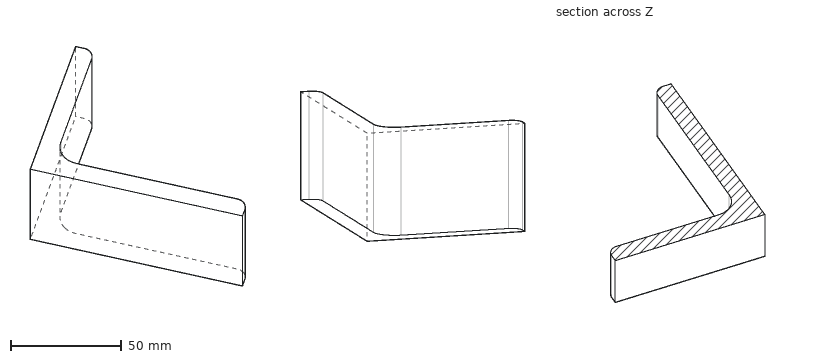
import cadquery as cq

long_leg = 100.0
short_leg = 75.0
thickness = 9.0
length = 50.0
root_radius = 10.0
toe_radius = 5.0


def angle_blank():
    """Sharp-cornered L section with its heel at the origin."""
    outline = [
        (0, 0),
        (long_leg, 0),
        (long_leg, thickness),
        (thickness, thickness),
        (thickness, short_leg),
        (0, short_leg),
    ]
    return cq.Workplane("XY").polyline(outline).close().extrude(length)


def round_edge_at(body, x, y, radius):
    """Round the upright edge that passes through (x, y)."""
    nearest = cq.selectors.NearestToPointSelector((x, y, length / 2))
    return body.edges("|Z").edges(nearest).fillet(radius)


result = angle_blank()
result = round_edge_at(result, thickness, thickness, root_radius)
result = round_edge_at(result, long_leg, thickness, toe_radius)
result = round_edge_at(result, thickness, short_leg, toe_radius)